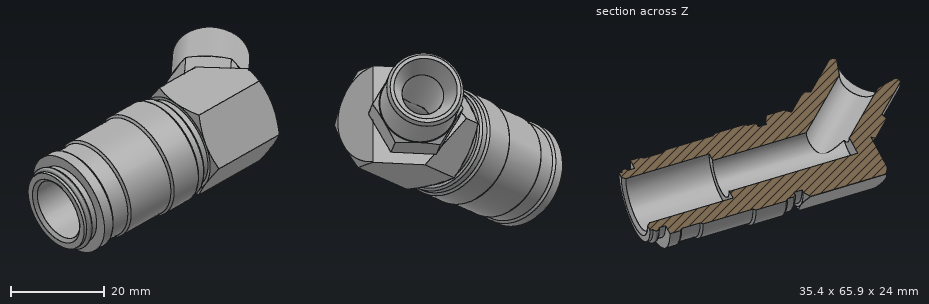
import cadquery as cq
import math

STUB_TURN = 45.0
ELBOW_Y = 43.25

BODY_FLATS = 22.0
BODY_START = 34.6
BODY_END = 54.1
BODY_CUT = 6.5
HEX_CHAMFER_ANGLE = 30.0
HEX_HALF_SECTOR = 30.0

NOSE_RADIUS = 9.0
BEAD_RADIUS = 9.65
BEAD_SECTION = 0.7
BEAD_CENTRE_RADIUS = BEAD_RADIUS - BEAD_SECTION
BEAD_Y = 1.43
SLEEVE_RADIUS = 11.5
SLEEVE_START = 3.6
GROOVE_RADIUS = 11.0
GROOVE_START = 6.05
GROOVE_END = 11.3
COLLAR_RADIUS = 12.0
COLLAR_START = 22.8
COLLAR_END = 30.8
SLEEVE_END = 32.8
NECK_RADIUS = 10.3
BEVEL = 0.5

MOUTH_RADIUS = 7.55
SOCKET_RADIUS = 6.8
SOCKET_DEPTH = 20.0
PASSAGE_RADIUS = 4.75

STUB_FLATS = 17.0
STUB_HEX_END = 13.5
STUB_RADIUS = 8.33
STUB_BEVEL = 0.65
STUB_END = 24.35
STUB_BORE_RADIUS = 4.5
CONE_RADIUS = 6.85
CONE_HALF_ANGLE = 30.0

PASSAGE_END = ELBOW_Y + STUB_BORE_RADIUS / math.sin(math.radians(STUB_TURN))


def revolved(profile):
    """Turn a closed (radius, y) outline around the Y axis."""
    return cq.Workplane("XY").polyline(profile).close().revolve(360, (0, 0, 0), (0, 1, 0))


def hexagon(flats, start, end):
    """Hexagonal prism along Y, with two flats facing up and down."""
    corners = flats / math.cos(math.radians(HEX_HALF_SECTOR))
    plane = cq.Plane(origin=(0, start, 0), xDir=(1, 0, 0), normal=(0, 1, 0))
    return cq.Workplane(plane).polygon(6, corners).extrude(end - start)


def chamfered_hexagon(flats, start, end, chamfer_start):
    """Hexagonal prism whose corners are turned off conically at its end, and optionally its start."""
    flat_radius = flats / 2
    outer_radius = flats
    drop = (outer_radius - flat_radius) * math.tan(math.radians(HEX_CHAMFER_ANGLE))
    top = [(outer_radius, end - drop), (flat_radius, end), (0, end)]
    if chamfer_start:
        bottom = [(0, start), (flat_radius, start), (outer_radius, start + drop)]
    else:
        bottom = [(0, start), (outer_radius, start)]
    return hexagon(flats, start, end).intersect(revolved(bottom + top))


def along_stub(shape):
    """Move a shape built along Y from the origin onto the stub axis."""
    return shape.rotate((0, 0, 0), (0, 0, 1), STUB_TURN).translate((0, ELBOW_Y, 0))


def elbow_body():
    body = chamfered_hexagon(BODY_FLATS, BODY_START, BODY_END, True)
    size = 4 * BODY_FLATS
    beyond_cut = cq.Workplane("XY").box(size, size, size).translate((0, BODY_CUT + size / 2, 0))
    return body.cut(along_stub(beyond_cut))


def sleeve():
    return revolved([
        (0, 0),
        (NOSE_RADIUS, 0),
        (NOSE_RADIUS, SLEEVE_START),
        (SLEEVE_RADIUS, SLEEVE_START),
        (SLEEVE_RADIUS, GROOVE_START),
        (GROOVE_RADIUS, GROOVE_START + BEVEL),
        (GROOVE_RADIUS, GROOVE_END - BEVEL),
        (SLEEVE_RADIUS, GROOVE_END),
        (SLEEVE_RADIUS, COLLAR_START),
        (COLLAR_RADIUS, COLLAR_START + BEVEL),
        (COLLAR_RADIUS, COLLAR_END - BEVEL),
        (SLEEVE_RADIUS, COLLAR_END),
        (SLEEVE_RADIUS, SLEEVE_END - BEVEL),
        (SLEEVE_RADIUS - BEVEL, SLEEVE_END),
        (NECK_RADIUS, SLEEVE_END),
        (NECK_RADIUS, BODY_START),
        (0, BODY_START),
    ])


def nose_bead():
    """Round ring standing out from the nose just inside the mouth."""
    section = cq.Workplane("XY").center(BEAD_CENTRE_RADIUS, BEAD_Y).circle(BEAD_SECTION)
    return section.revolve(360, (-BEAD_CENTRE_RADIUS, 0, 0), (-BEAD_CENTRE_RADIUS, 1, 0))


def stub():
    nut = chamfered_hexagon(STUB_FLATS, BODY_CUT, STUB_HEX_END, False)
    thread = revolved([
        (0, BODY_CUT),
        (STUB_RADIUS, BODY_CUT),
        (STUB_RADIUS, STUB_END - STUB_BEVEL),
        (STUB_RADIUS - STUB_BEVEL, STUB_END),
        (0, STUB_END),
    ])
    return along_stub(nut.union(thread))


def socket_bore():
    return revolved([
        (0, 0),
        (MOUTH_RADIUS, 0),
        (SOCKET_RADIUS, MOUTH_RADIUS - SOCKET_RADIUS),
        (SOCKET_RADIUS, SOCKET_DEPTH),
        (PASSAGE_RADIUS, SOCKET_DEPTH),
        (PASSAGE_RADIUS, PASSAGE_END),
        (0, PASSAGE_END),
    ])


def stub_bore():
    cone_depth = (CONE_RADIUS - STUB_BORE_RADIUS) / math.tan(math.radians(CONE_HALF_ANGLE))
    return along_stub(revolved([
        (0, 0),
        (STUB_BORE_RADIUS, 0),
        (STUB_BORE_RADIUS, STUB_END - cone_depth),
        (CONE_RADIUS, STUB_END),
        (0, STUB_END),
    ]))


outside = elbow_body().union(sleeve()).union(nose_bead()).union(stub())
result = outside.cut(socket_bore()).cut(stub_bore())